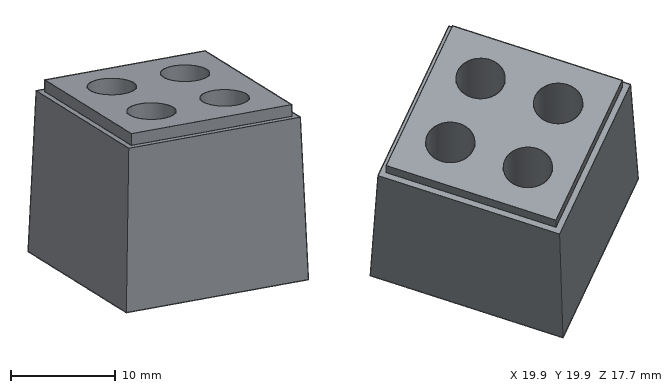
import cadquery as cq

base_width = 19.91
total_height = 17.7
shoulder_width = 18.75
lip_width = 17.52
lip_height = 1.2
body_height = total_height - lip_height

hole_diameter = 4.74
hole_spacing = 8.0


def tapered_body():
    """Square body narrowing evenly from the base to the shoulder."""
    return (
        cq.Workplane("XY")
        .rect(base_width, base_width)
        .workplane(offset=body_height)
        .rect(shoulder_width, shoulder_width)
        .loft(ruled=True)
    )


def lip():
    """Straight raised square on top of the shoulder."""
    return (
        cq.Workplane("XY")
        .workplane(offset=body_height)
        .rect(lip_width, lip_width)
        .extrude(lip_height)
    )


def holes():
    """Four holes running the full height."""
    return (
        cq.Workplane("XY")
        .rarray(hole_spacing, hole_spacing, 2, 2)
        .circle(hole_diameter / 2)
        .extrude(total_height)
    )


result = tapered_body().union(lip()).cut(holes())